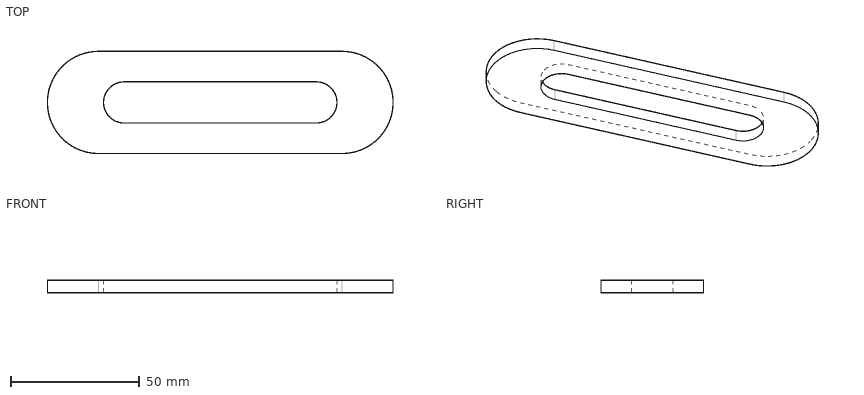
import cadquery as cq

plate_length = 135.0
plate_width = 40.0
plate_thickness = 5.0
slot_length = 91.0
slot_width = 16.0


def rounded_bar(length, width):
    """Solid bar with full semicircular ends, centred on X and Y, resting on Z = 0."""
    return cq.Workplane("XY").slot2D(length, width).extrude(plate_thickness)


plate = rounded_bar(plate_length, plate_width)
slot = rounded_bar(slot_length, slot_width)

result = plate.cut(slot)